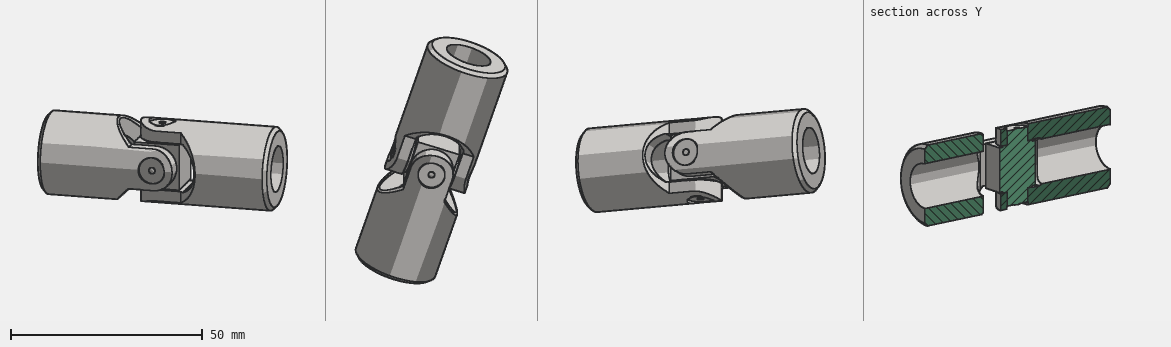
import cadquery as cq
import math

length = 62.0
body_diameter = 22.0
body_radius = body_diameter / 2
end_chamfer = 1.0

bore_diameter = 12.0
arm_radius = 5.65
arm_gap_half = 6.45
shoulder_start = 6.5
slot_end = 11.4
slot_end_radius = 7.05

block_length = 12.15
block_height = 12.15
block_width = 11.35
boss_diameter = 10.0
pin_diameter = 7.0
pin_reach = 10.2
nub_diameter = 1.7
nub_rim_height = 0.1
nub_crown_height = 0.05


def centered_cylinder(plane, diameter, half_length):
    """Cylinder through the joint center, square to the named plane."""
    return cq.Workplane(plane).circle(diameter / 2).extrude(half_length, both=True)


def fork_outline():
    """Side shape of the fork: round arm tip, straight arm, 45 degree shoulders, full body."""
    shoulder_end = shoulder_start + body_radius - arm_radius
    return (
        cq.Workplane("XZ")
        .moveTo(0, arm_radius)
        .lineTo(-shoulder_start, arm_radius)
        .lineTo(-shoulder_end, body_radius)
        .lineTo(-length / 2, body_radius)
        .lineTo(-length / 2, -body_radius)
        .lineTo(-shoulder_end, -body_radius)
        .lineTo(-shoulder_start, -arm_radius)
        .lineTo(0, -arm_radius)
        .threePointArc((arm_radius, 0), (0, arm_radius))
        .close()
        .extrude(body_radius, both=True)
    )


def fork_slot():
    """Open slot between the arms, closed by a shallow arc."""
    arc_rise = slot_end_radius - math.sqrt(slot_end_radius**2 - arm_gap_half**2)
    arc_start = slot_end - arc_rise
    return (
        cq.Workplane("XY")
        .moveTo(arm_radius, arm_gap_half)
        .lineTo(-arc_start, arm_gap_half)
        .threePointArc((-slot_end, 0), (-arc_start, -arm_gap_half))
        .lineTo(arm_radius, -arm_gap_half)
        .close()
        .extrude(body_radius, both=True)
    )


def make_yoke():
    """Yoke on the -X side, with its arms at -Y and +Y."""
    bar = (
        cq.Workplane("YZ", origin=(-length / 2, 0, 0))
        .circle(body_radius)
        .extrude(length / 2 + arm_radius)
        .faces("<X")
        .chamfer(end_chamfer)
    )
    bore = cq.Workplane("YZ", origin=(-length / 2, 0, 0)).circle(bore_diameter / 2).extrude(length / 2)
    arm_holes = centered_cylinder("XZ", pin_diameter, body_radius)
    return bar.intersect(fork_outline()).cut(fork_slot()).cut(bore).cut(arm_holes)


def pin_end_nub():
    """Small round nub on the +Z pin end, with a slightly domed top."""
    nub_radius = nub_diameter / 2
    rim = pin_reach + nub_rim_height
    crown = rim + nub_crown_height
    dome_radius = (nub_radius**2 + nub_crown_height**2) / (2 * nub_crown_height)
    arc_middle = nub_radius / 2
    arc_middle_height = crown - dome_radius + math.sqrt(dome_radius**2 - arc_middle**2)
    return (
        cq.Workplane("XZ")
        .moveTo(0, arm_gap_half)
        .lineTo(nub_radius, arm_gap_half)
        .lineTo(nub_radius, rim)
        .threePointArc((arc_middle, arc_middle_height), (0, crown))
        .close()
        .revolve(360, (0, 0), (0, 1))
    )


def make_cross():
    """Center block with a boss, a pin and a small end nub on each of its Y and Z sides."""
    body = cq.Workplane("XY").box(block_length, block_width, block_height)
    for plane in ("XY", "XZ"):
        body = body.union(centered_cylinder(plane, boss_diameter, arm_gap_half))
        body = body.union(centered_cylinder(plane, pin_diameter, pin_reach))
    for turn in (0, 90, 180, 270):
        body = body.union(pin_end_nub().rotate((0, 0, 0), (1, 0, 0), turn))
    return body


def make_yokes():
    """Two facing yokes, the second turned a quarter turn about the joint axis."""
    yokes = []
    for turn, quarter in ((0, 0), (180, 90)):
        yoke = make_yoke().rotate((0, 0, 0), (0, 0, 1), turn).rotate((0, 0, 0), (1, 0, 0), quarter)
        yokes.append(yoke.val())
    return yokes


cross = make_cross()
yokes = make_yokes()
result = cq.Compound.makeCompound([cross.val(), *yokes])